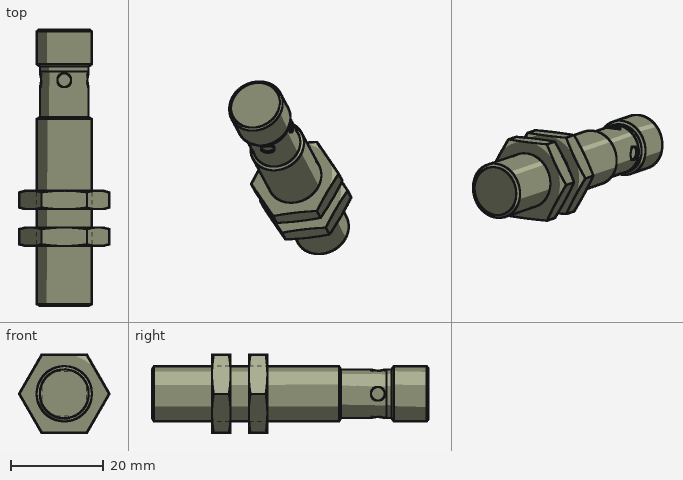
import cadquery as cq
import math

LENGTH = 60.0
BODY_DIAMETER = 12.0
FRONT_FACE_DIAMETER = 10.6
REAR_FACE_DIAMETER = 10.9
NECK_DIAMETER = 10.55
COLLAR_DIAMETER = 10.6
END_CHAMFER_LENGTH = 0.4
BODY_LENGTH = 41.0
HEAD_LENGTH = 8.0
HEAD_CHAMFER_LENGTH = 0.5
COLLAR_LENGTH = 1.15

WINDOW_DIAMETER = 3.0
WINDOW_DEPTH = 0.4
WINDOW_FROM_REAR = 11.0
WINDOW_COUNT = 4

NUT_ACROSS_FLATS = 17.0
NUT_THICKNESS = 4.0
NUT_CORNER_CHAMFER = 0.35
NUT_STARTS = (13.0, 21.0)


def revolve_about_y(points):
    """Turn a closed (radius, Y) outline about the Y axis."""
    return cq.Workplane("XY").polyline(points).close().revolve(360, (0, 0, 0), (0, 1, 0))


def make_window(angle):
    """Cutter for one recess, pointing outward at the given angle about the Y axis."""
    floor_radius = NECK_DIAMETER / 2 - WINDOW_DEPTH
    cutter = cq.Workplane("XY").workplane(offset=floor_radius)
    cutter = cutter.center(0, LENGTH - WINDOW_FROM_REAR).circle(WINDOW_DIAMETER / 2).extrude(BODY_DIAMETER)
    return cutter.rotate((0, 0, 0), (0, 1, 0), angle)


def make_housing():
    """Barrel, recessed neck, collar and connector head in one turned piece."""
    body_radius = BODY_DIAMETER / 2
    neck_radius = NECK_DIAMETER / 2
    collar_radius = COLLAR_DIAMETER / 2
    rear_radius = REAR_FACE_DIAMETER / 2
    head_start = LENGTH - HEAD_LENGTH
    collar_start = head_start - COLLAR_LENGTH
    housing = revolve_about_y([
        (0, 0),
        (FRONT_FACE_DIAMETER / 2, 0),
        (body_radius, END_CHAMFER_LENGTH),
        (body_radius, BODY_LENGTH - END_CHAMFER_LENGTH),
        (neck_radius, BODY_LENGTH),
        (neck_radius, collar_start),
        (collar_radius, collar_start),
        (collar_radius, head_start),
        (body_radius, head_start + HEAD_CHAMFER_LENGTH),
        (body_radius, LENGTH - END_CHAMFER_LENGTH),
        (rear_radius, LENGTH),
        (0, LENGTH),
    ])
    for index in range(WINDOW_COUNT):
        housing = housing.cut(make_window(index * 360 / WINDOW_COUNT))
    return housing


def make_nut(start):
    """Hexagonal nut with corners on the X axis and conical chamfers on both faces."""
    corner_diameter = NUT_ACROSS_FLATS / math.cos(math.radians(30))
    face_radius = NUT_ACROSS_FLATS / 2
    corner_radius = corner_diameter / 2
    hexagon = cq.Workplane("XZ").polygon(6, corner_diameter).extrude(-NUT_THICKNESS)
    ring = revolve_about_y([
        (BODY_DIAMETER / 2, 0),
        (face_radius, 0),
        (corner_radius, NUT_CORNER_CHAMFER),
        (corner_radius, NUT_THICKNESS - NUT_CORNER_CHAMFER),
        (face_radius, NUT_THICKNESS),
        (BODY_DIAMETER / 2, NUT_THICKNESS),
    ])
    return hexagon.intersect(ring).translate((0, start, 0))


housing = make_housing()
nuts = [make_nut(start) for start in NUT_STARTS]

result = cq.Compound.makeCompound([housing.val(), *[nut.val() for nut in nuts]])